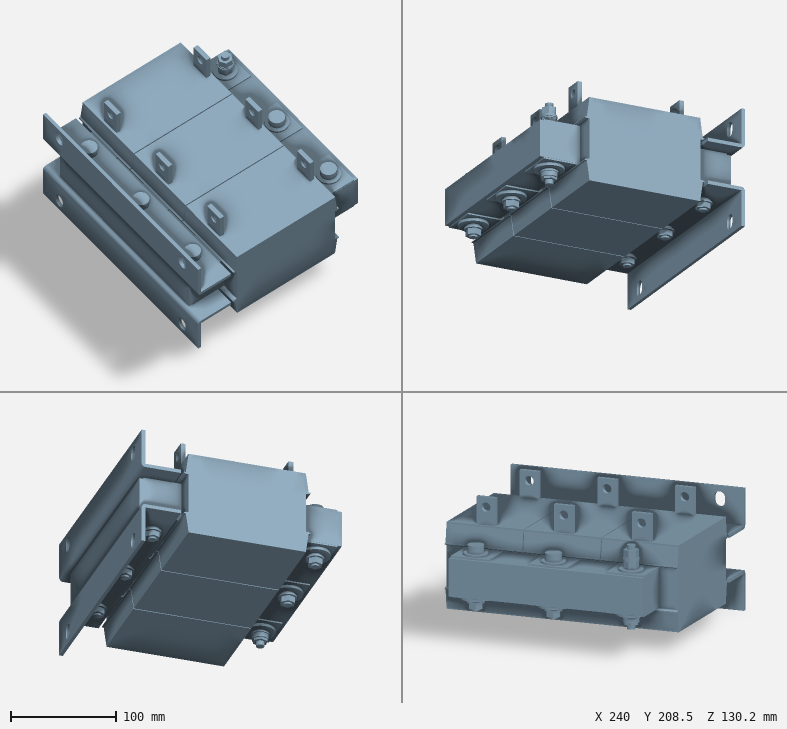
import cadquery as cq

core_length = 200.0
core_depth = 204.0
core_height = 37.5
yoke_inner = 63.0
coil_pitch = core_length * 2 / 5
leg_width = core_length / 5

coil_width = 79.0
coil_height = 85.5
coil_end = 59.3
slope_foot = 62.0
slope_start = 41.3
lip_end = 63.8
lip_top = 22.5
lip_edge_bottom = 21.5
yoke_recess_half = 20.6

tab_width = 19.7
tab_thickness = 4.8
tab_top = 70.0
tab_offset = 54.2
tab_hole_diameter = 9.0
tab_hole_height = 60.2

pad_thickness = 1.5
pad_end = 97.7
pad_width = leg_width - 0.5
pad_face = core_height / 2 + pad_thickness

bracket_length = 240.0
bracket_thickness = 3.5
bracket_back = -67.0
bracket_front = -106.5
bracket_reach = 60.2
bend_radius = 3.8
slot_width = 11.0
slot_height = 15.0
slot_offset = 95.0
slot_level = 47.3
bracket_face = pad_face + bracket_thickness

bolt_offset = 82.0
stud_diameter = 8.2
head_diameter = 16.0
head_height = 7.7
nut_corners = 15.0
nut_height = 7.2
nut_turn = -10.0
washer_diameter = 24.0
washer_thickness = 2.0
wide_washer_diameter = 29.8
wide_washer_thickness = 3.0
collar_diameter = 14.6
collar_height = 2.2
flange_diameter = 18.0
flange_height = 1.7
flanged_nut_bottom = -33.0
bolt_end = -34.5
long_stud_top = 45.4
long_stud_bottom = -37.5
spring_height = 1.2
upper_nut_top = 40.8
upper_nut_turn = 30.0
skirt_bottom = -30.5

coil_centers = [-coil_pitch, 0, coil_pitch]


def block(x_range, y_range, z_range):
    """Box between the given limits."""
    (x0, x1), (y0, y1), (z0, z1) = x_range, y_range, z_range
    return cq.Workplane("XY").box(x1 - x0, y1 - y0, z1 - z0, centered=False).translate((x0, y0, z0))


def disc(x, y, diameter, bottom, top):
    """Upright cylinder."""
    return cq.Workplane("XY", origin=(x, y, bottom)).circle(diameter / 2).extrude(top - bottom)


def hexagon(x, y, bottom, top, turn):
    """Upright hexagonal nut; at zero turn it has corners toward +X and -X."""
    nut = cq.Workplane("XY").polygon(6, nut_corners).extrude(top - bottom)
    return nut.rotate((0, 0, 0), (0, 0, 1), turn).translate((x, y, bottom))


def make_yokes():
    """The two end bars of the core; its legs are enclosed by the coils."""
    core = cq.Workplane("XY").box(core_length, core_depth, core_height)
    return core.cut(cq.Workplane("XY").box(core_length, 2 * yoke_inner, core_height))


def make_coil(x):
    upper_end = [
        (coil_end, yoke_recess_half),
        (slope_foot, yoke_recess_half),
        (lip_end, lip_edge_bottom),
        (lip_end, lip_top),
        (slope_foot, lip_top),
        (coil_end, slope_start),
        (coil_end, coil_height / 2),
    ]
    lower_end = [(y, -z) for y, z in reversed(upper_end)]
    front_end = lower_end + upper_end
    back_end = [(-y, -z) for y, z in front_end]
    return (
        cq.Workplane("YZ", origin=(x - coil_width / 2, 0, 0))
        .polyline(front_end + back_end)
        .close()
        .extrude(coil_width)
    )


def make_tab(x, y):
    tab = block(
        (x - tab_width / 2, x + tab_width / 2),
        (y - tab_thickness / 2, y + tab_thickness / 2),
        (0, tab_top),
    )
    hole = (
        cq.Workplane("XZ", origin=(x, y, tab_hole_height))
        .circle(tab_hole_diameter / 2)
        .extrude(tab_thickness, both=True)
    )
    return tab.cut(hole)


def make_pads(x):
    """Pads above and below both yokes at one coil, joined by a spacer between coil and yoke."""
    x_range = (x - pad_width / 2, x + pad_width / 2)
    z_range = (-pad_face, pad_face)
    return block(x_range, (-pad_end, pad_end), z_range)


def make_upper_bracket():
    """Angle with its foot on the front yoke and its slotted plate turned upward."""
    plate_back = bracket_front + bracket_thickness
    bracket = (
        cq.Workplane("YZ", origin=(-bracket_length / 2, 0, 0))
        .moveTo(bracket_back, pad_face)
        .lineTo(bracket_front + bend_radius, pad_face)
        .radiusArc((bracket_front, pad_face + bend_radius), bend_radius)
        .lineTo(bracket_front, bracket_reach)
        .lineTo(plate_back, bracket_reach)
        .lineTo(plate_back, bracket_face)
        .lineTo(bracket_back, bracket_face)
        .close()
        .extrude(bracket_length)
    )
    slots = (
        cq.Workplane("XZ", origin=(0, plate_back, 0))
        .pushPoints([(-slot_offset, slot_level), (slot_offset, slot_level)])
        .slot2D(slot_height, slot_width, 90)
        .extrude(bracket_thickness)
    )
    return bracket.cut(slots)


def make_headed_bolt(x, y, head_seat, nut_seat):
    """Bolt with a round head on top and a flanged nut below."""
    flange_top = nut_seat - collar_height
    flange_bottom = flange_top - flange_height
    return (
        disc(x, y, stud_diameter, bolt_end, head_seat)
        .union(disc(x, y, head_diameter, head_seat, head_seat + head_height))
        .union(disc(x, y, collar_diameter, flange_top, nut_seat))
        .union(disc(x, y, flange_diameter, flange_bottom, flange_top))
        .union(hexagon(x, y, flanged_nut_bottom, flange_bottom, nut_turn))
    )


def make_long_stud(x, y, top_seat, bottom_seat):
    """Earthing stud: two nuts with a contact washer between them on top, a flanged nut below."""
    lower_nut_top = top_seat + nut_height
    contact_bottom = lower_nut_top + spring_height
    contact_top = contact_bottom + washer_thickness
    upper_nut_bottom = upper_nut_top - nut_height
    flange_top = bottom_seat - spring_height
    flange_bottom = flange_top - flange_height
    return (
        disc(x, y, stud_diameter, long_stud_bottom, long_stud_top)
        .union(hexagon(x, y, top_seat, lower_nut_top, upper_nut_turn))
        .union(disc(x, y, collar_diameter, lower_nut_top, upper_nut_bottom))
        .union(disc(x, y, head_diameter, contact_bottom, contact_top))
        .union(hexagon(x, y, upper_nut_bottom, upper_nut_top, upper_nut_turn))
        .union(disc(x, y, collar_diameter, flange_top, bottom_seat))
        .union(disc(x, y, flange_diameter, flange_bottom, flange_top))
        .union(disc(x, y, head_diameter, skirt_bottom, flange_bottom))
        .union(hexagon(x, y, flanged_nut_bottom, skirt_bottom, nut_turn))
    )


def make_back_washers(x):
    top = disc(x, bolt_offset, washer_diameter, pad_face, pad_face + washer_thickness)
    bottom = disc(x, bolt_offset, wide_washer_diameter, -pad_face - wide_washer_thickness, -pad_face)
    return top.union(bottom)


result = make_yokes()
for center in coil_centers:
    result = result.union(make_coil(center)).union(make_pads(center)).union(make_back_washers(center))
    for tab_y in (-tab_offset, tab_offset):
        result = result.union(make_tab(center, tab_y))

upper_bracket = make_upper_bracket()
result = result.union(upper_bracket).union(upper_bracket.mirror("XY"))

for center in coil_centers:
    result = result.union(make_headed_bolt(center, -bolt_offset, bracket_face, -bracket_face))

back_top_seat = pad_face + washer_thickness
back_bottom_seat = -pad_face - wide_washer_thickness
result = result.union(make_long_stud(coil_centers[0], bolt_offset, back_top_seat, back_bottom_seat))
for center in coil_centers[1:]:
    result = result.union(make_headed_bolt(center, bolt_offset, back_top_seat, back_bottom_seat))